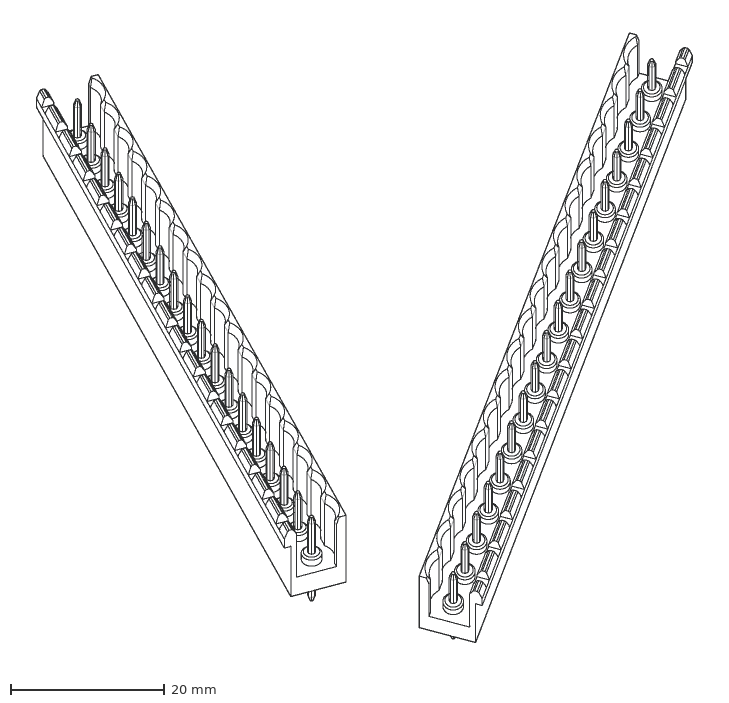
import cadquery as cq

length = 90.0
pin_count = 18
pitch = length / pin_count

body_depth = 7.7
body_height = 12.0
floor_thickness = 3.2
back_wall = 1.35
front_wall = 0.8

mouth_height = 1.3
back_bevel_width = 0.4

lip_depth = 0.9
lip_bottom_drop = 3.0
lip_outer_slope_drop = 1.35
lip_inner_slope_drop = 1.0
crest_inset = 0.45
crest_width = 0.4
crest_bevel_height = 0.2

slot_bottom_width = 1.2
slot_top_width = 1.6

hollow_depth = 0.6
land_width = 1.4
flare_width = 0.5

pin_sides = 8
pin_width = 1.0
pin_tail = 4.05
pin_top_drop = 1.1
pin_from_back = 3.9
tip_height = 0.9
tip_width = 0.45
collar_diameter = 2.7
collar_height = 1.35
collar_bevel = 0.3

back_inner_y = body_depth - back_wall
pin_y = body_depth - pin_from_back
lip_outer_y = -lip_depth
mouth_z = body_height - mouth_height


def pin_outline():
    """Octagonal pin section with one of its flats facing -Y."""
    return cq.Workplane("XY").polygon(pin_sides, pin_width, circumscribed=True)


def make_channel():
    crest_edge_z = body_height - crest_bevel_height
    crest_outer_y = lip_outer_y + crest_inset
    crest_inner_y = front_wall - crest_inset
    crest_middle_y = (crest_outer_y + crest_inner_y) / 2
    return (
        cq.Workplane("YZ")
        .moveTo(0, 0)
        .lineTo(body_depth, 0)
        .lineTo(body_depth, body_height)
        .lineTo(back_inner_y + back_bevel_width, body_height)
        .lineTo(back_inner_y, mouth_z)
        .lineTo(back_inner_y, floor_thickness)
        .lineTo(front_wall, floor_thickness)
        .lineTo(front_wall, body_height - lip_inner_slope_drop)
        .lineTo(crest_inner_y, crest_edge_z)
        .lineTo(crest_middle_y + crest_width / 2, body_height)
        .lineTo(crest_middle_y - crest_width / 2, body_height)
        .lineTo(crest_outer_y, crest_edge_z)
        .lineTo(lip_outer_y, body_height - lip_outer_slope_drop)
        .lineTo(lip_outer_y, body_height - lip_bottom_drop)
        .lineTo(0, body_height - lip_bottom_drop)
        .close()
        .extrude(length)
    )


def make_hollow():
    """Upright cylinder segment with a conical mouth, cutting into the back wall."""
    half_chord = (pitch - land_width) / 2
    radius = (half_chord**2 + hollow_depth**2) / (2 * hollow_depth)
    axis_y = back_inner_y + hollow_depth - radius
    profile = [
        (0, floor_thickness),
        (radius, floor_thickness),
        (radius, mouth_z),
        (radius + flare_width, body_height),
        (0, body_height),
    ]
    scoop = cq.Workplane("XZ").polyline(profile).close().revolve(360, (0, 0, 0), (0, 1, 0))
    reach = (
        cq.Workplane("XY")
        .box(pitch, back_wall, body_height, centered=(True, False, False))
        .translate((0, back_inner_y, 0))
    )
    return scoop.translate((0, axis_y, 0)).intersect(reach)


def make_slot():
    bottom_z = body_height - lip_outer_slope_drop
    profile = [
        (-slot_bottom_width / 2, bottom_z),
        (slot_bottom_width / 2, bottom_z),
        (slot_top_width / 2, body_height),
        (-slot_top_width / 2, body_height),
    ]
    slot = cq.Workplane("XZ").polyline(profile).close().extrude(lip_depth + front_wall)
    return slot.translate((0, front_wall, 0))


def make_tip():
    """Tapered end of a pin, narrowing upward from Z = 0."""
    tip_plane = pin_outline().workplane(offset=tip_height)
    return tip_plane.polygon(pin_sides, tip_width, circumscribed=True).loft(ruled=True)


def make_pin():
    tail_z = tip_height - pin_tail
    head_z = body_height - pin_top_drop - tip_height
    shaft = pin_outline().extrude(head_z - tail_z).translate((0, 0, tail_z))
    head = make_tip().translate((0, 0, head_z))
    tail = make_tip().mirror("XY").translate((0, 0, tail_z))
    collar = (
        cq.Workplane("XY", origin=(0, 0, floor_thickness))
        .circle(collar_diameter / 2)
        .extrude(collar_height)
        .faces(">Z")
        .chamfer(collar_bevel)
    )
    return shaft.union(head).union(tail).union(collar).translate((0, pin_y, 0))


hollow = make_hollow()
slot = make_slot()
pin = make_pin()

result = make_channel()
for position in range(pin_count):
    place = ((position + 0.5) * pitch, 0, 0)
    result = result.cut(hollow.translate(place))
    result = result.cut(slot.translate(place))
    result = result.union(pin.translate(place))